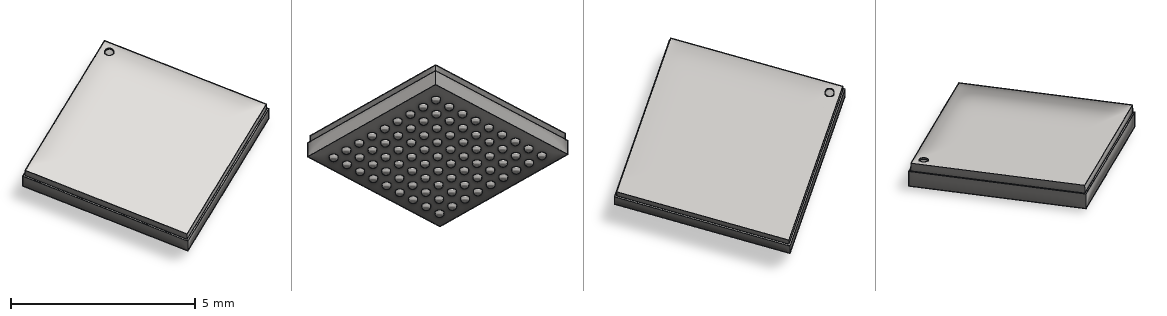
import cadquery as cq
import math

side = 5.0
total_height = 0.83
substrate_height = 0.45
cap_height = 0.235
cap_base_inset = 0.045
cap_top_inset = 0.05

ball_diameter = 0.25
ball_pitch = 0.5
balls_per_side = 9

marker_diameter = 0.25
marker_depth = 0.05
marker_edge_distance = 0.335

top_z = substrate_height + cap_height
ball_drop = total_height - top_z
ball_center_z = ball_diameter / 2 - ball_drop


def make_body():
    """Substrate with the slightly drafted mould cap centred on top."""
    cap_side = side - 2 * cap_base_inset
    draft_angle = math.degrees(math.atan2(cap_top_inset - cap_base_inset, cap_height))
    substrate = cq.Workplane("XY").rect(side, side).extrude(substrate_height)
    cap = (
        cq.Workplane("XY", origin=(0, 0, substrate_height))
        .rect(cap_side, cap_side)
        .extrude(cap_height, taper=draft_angle)
    )
    return substrate.union(cap)


def make_marker():
    """Shallow round recess marking the first pin's corner."""
    offset = side / 2 - marker_edge_distance
    return (
        cq.Workplane("XY", origin=(-offset, offset, top_z))
        .circle(marker_diameter / 2)
        .extrude(-marker_depth)
    )


def make_balls():
    """Square grid of spheres sunk partly into the substrate."""
    ball = cq.Solid.makeSphere(ball_diameter / 2, angleDegrees1=-90, angleDegrees2=90)
    return (
        cq.Workplane("XY", origin=(0, 0, ball_center_z))
        .rarray(ball_pitch, ball_pitch, balls_per_side, balls_per_side)
        .eachpoint(lambda place: ball.located(place), combine=False)
    )


result = make_body().cut(make_marker()).union(make_balls())